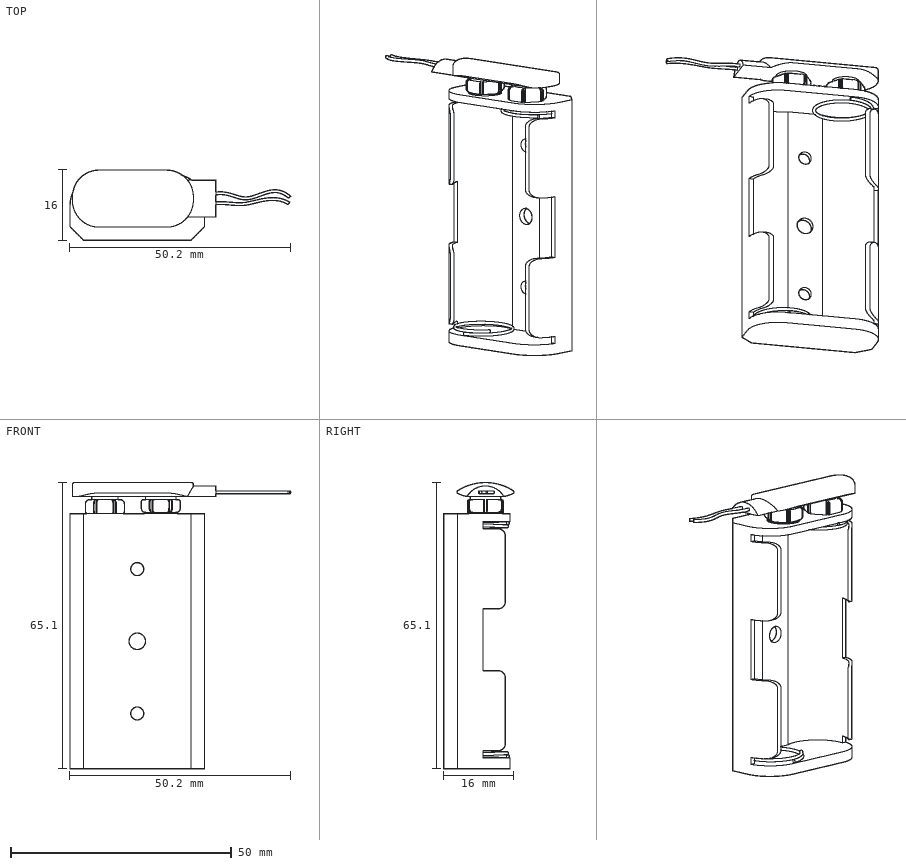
import cadquery as cq
import math


HOUSING_WIDTH = 30.6
HOUSING_HEIGHT = 58.0
FRONT_Y = -7.95
BACK_Y = 7.15
FRONT_CHAMFER = 3.1
BACK_CORNER_RADIUS = BACK_Y

CELL_RADIUS = 7.1
CELL_X = 7.15
POCKET_FLOOR_Y = -6.4
POCKET_BOTTOM = 2.5
POCKET_TOP = 56.2
POCKET_MIDDLE = (POCKET_BOTTOM + POCKET_TOP) / 2

SIDE_CUT_Y = 1.0
SPRING_SLOT_HEIGHT = 1.6
WINDOW_HEIGHT = 14.0
WALL_TOP_Y = 6.1
WALL_CORNER_RADIUS = 1.7

SCREW_HOLE_DIAMETER = 2.9
CENTRE_HOLE_DIAMETER = 3.7
SCREW_HOLE_PITCH = 16.4

SPRING_WIRE_DIAMETER = 0.7
SPRING_BASE_RADIUS = 6.65
SPRING_TIP_RADIUS = 6.45
SPRING_PITCH = 0.72
SPRING_TURNS = 1.15
SPRING_CURVE_POINTS = 80

CLIP_X = -1.0
CLIP_Y = 1.55
CLIP_LENGTH = 27.5
CLIP_WIDTH = 13.0
CLIP_CORNER_RADIUS = 6.1
CLIP_BOTTOM = 61.9
CLIP_EDGE_BOTTOM = 62.7
CLIP_EDGE_TOP = 63.1
CLIP_TOP = 65.1
CLIP_BOTTOM_HALF_WIDTH = 4.3
CLIP_EDGE_FILLET = 0.45
CLIP_FLANK_BULGE = 0.08

NECK_END_X = 17.85
NECK_WIDTH = 8.4
NECK_TOP = 64.3

LEAD_DIAMETER = 0.7
LEAD_Z = 62.85
UPPER_LEAD_BENDS = [(0, 1.15), (2.4, 1.1), (6.6, 0.05), (12.8, 1.65), (16.76, 0.3)]
LOWER_LEAD_BENDS = [(0, -1.05), (3.4, -1.15), (6.2, -1.25), (9.0, -0.7), (12.8, -0.1), (16.6, -1.1)]

SNAP_PITCH = 12.7
SNAP_ACROSS_FLATS = 8.2
SNAP_PETALS = 6
SNAP_CORNER_CHAMFER = 0.56
SNAP_SLOT_WIDTH = 0.45
SNAP_CORE_DIAMETER = 7.0
SNAP_TOP = 61.2
SNAP_BEND_RADIUS = 1.0
SNAP_RIM_RADIUS = 0.5
CLIP_SNAP_COLLAR_DIAMETER = 6.0
HOUSING_SNAP_COLLAR_DIAMETER = 7.5
HOUSING_SNAP_COLLAR_HEIGHT = 0.25


def block(x_min, x_max, y_min, y_max, z_min, z_max):
    size = (x_max - x_min, y_max - y_min, z_max - z_min)
    return cq.Workplane("XY").box(*size, centered=False).translate((x_min, y_min, z_min))


def disc(diameter, x, y, z_min, z_max):
    plate = cq.Workplane("XY").circle(diameter / 2).extrude(z_max - z_min)
    return plate.translate((x, y, z_min))


def housing_blank():
    middle_y = (FRONT_Y + BACK_Y) / 2
    blank = (
        cq.Workplane("XY")
        .rect(HOUSING_WIDTH, BACK_Y - FRONT_Y)
        .extrude(HOUSING_HEIGHT)
        .translate((0, middle_y, 0))
    )
    blank = blank.edges("|Z and <Y").chamfer(FRONT_CHAMFER)
    return blank.edges("|Z and >Y").fillet(BACK_CORNER_RADIUS)


def cell_pocket():
    pocket = block(-CELL_X, CELL_X, POCKET_FLOOR_Y, BACK_Y, POCKET_BOTTOM, POCKET_TOP)
    for x in (-CELL_X, CELL_X):
        pocket = pocket.union(disc(2 * CELL_RADIUS, x, 0, POCKET_BOTTOM, POCKET_TOP))
    return pocket


def wall(z_min, z_max):
    """Space taken by one pair of cell-holding walls, rounded at its back corners."""
    half = HOUSING_WIDTH / 2
    space = block(-half, half, SIDE_CUT_Y, WALL_TOP_Y, z_min, z_max)
    return space.edges("|X and >Y").fillet(WALL_CORNER_RADIUS)


def side_openings():
    half = HOUSING_WIDTH / 2
    openings = block(-half, half, SIDE_CUT_Y, BACK_Y, POCKET_BOTTOM, POCKET_TOP)
    lower_wall_bottom = POCKET_BOTTOM + SPRING_SLOT_HEIGHT
    upper_wall_top = POCKET_TOP - SPRING_SLOT_HEIGHT
    window_bottom = POCKET_MIDDLE - WINDOW_HEIGHT / 2
    window_top = POCKET_MIDDLE + WINDOW_HEIGHT / 2
    openings = openings.cut(wall(lower_wall_bottom, window_bottom))
    return openings.cut(wall(window_top, upper_wall_top))


def mounting_hole(diameter, z):
    depth = BACK_Y - FRONT_Y
    hole = cq.Workplane("XZ").circle(diameter / 2).extrude(-depth)
    return hole.translate((0, FRONT_Y, z))


def make_housing():
    body = housing_blank().cut(cell_pocket()).cut(side_openings())
    middle = HOUSING_HEIGHT / 2
    body = body.cut(mounting_hole(CENTRE_HOLE_DIAMETER, middle))
    for z in (middle - SCREW_HOLE_PITCH, middle + SCREW_HOLE_PITCH):
        body = body.cut(mounting_hole(SCREW_HOLE_DIAMETER, z))
    return body


def make_spring(cell_x, seat_z, direction):
    """Conical coil that starts at its seat, at the back, and runs up (direction 1) or down (-1)."""

    def coil(t):
        radius = SPRING_BASE_RADIUS + t * (SPRING_TIP_RADIUS - SPRING_BASE_RADIUS)
        angle = math.pi / 2 + 2 * math.pi * SPRING_TURNS * t
        rise = SPRING_WIRE_DIAMETER / 2 + SPRING_PITCH * SPRING_TURNS * t
        return (radius * math.cos(angle), radius * math.sin(angle), direction * rise)

    path = cq.Workplane("XY").parametricCurve(coil, N=SPRING_CURVE_POINTS)
    start = cq.Plane(origin=coil(0), xDir=(0, 1, 0), normal=(-1, 0, 0))
    spring = cq.Workplane(start).circle(SPRING_WIRE_DIAMETER / 2).sweep(path, isFrenet=True)
    return spring.translate((cell_x, 0, seat_z))


def clip_body():
    edge_y = CLIP_WIDTH / 2
    flank_mid_y = (edge_y + CLIP_BOTTOM_HALF_WIDTH) / 2 + CLIP_FLANK_BULGE
    flank_mid_z = (CLIP_EDGE_BOTTOM + CLIP_BOTTOM) / 2 - CLIP_FLANK_BULGE
    lens = (
        cq.Workplane("YZ")
        .moveTo(-CLIP_BOTTOM_HALF_WIDTH, CLIP_BOTTOM)
        .lineTo(CLIP_BOTTOM_HALF_WIDTH, CLIP_BOTTOM)
        .threePointArc((flank_mid_y, flank_mid_z), (edge_y, CLIP_EDGE_BOTTOM))
        .lineTo(edge_y, CLIP_EDGE_TOP)
        .threePointArc((0, CLIP_TOP), (-edge_y, CLIP_EDGE_TOP))
        .lineTo(-edge_y, CLIP_EDGE_BOTTOM)
        .threePointArc((-flank_mid_y, flank_mid_z), (-CLIP_BOTTOM_HALF_WIDTH, CLIP_BOTTOM))
        .close()
        .extrude(CLIP_LENGTH / 2, both=True)
    )
    outline = (
        cq.Workplane("XY")
        .workplane(offset=CLIP_BOTTOM)
        .rect(CLIP_LENGTH, CLIP_WIDTH)
        .extrude(CLIP_TOP - CLIP_BOTTOM)
        .edges("|Z")
        .fillet(CLIP_CORNER_RADIUS)
    )
    body = lens.intersect(outline)
    body = body.faces(">Z").edges().fillet(CLIP_EDGE_FILLET)
    return body.translate((CLIP_X, CLIP_Y, 0))


def clip_neck():
    half = NECK_WIDTH / 2
    section = (
        cq.Workplane("YZ")
        .moveTo(-half, CLIP_BOTTOM)
        .lineTo(half, CLIP_BOTTOM)
        .threePointArc((0, NECK_TOP), (-half, CLIP_BOTTOM))
        .close()
    )
    neck = section.extrude(NECK_END_X - CLIP_X)
    return neck.translate((CLIP_X, CLIP_Y, 0))


def make_clip():
    return clip_body().union(clip_neck())


def make_lead(bends):
    points = [(NECK_END_X + x, CLIP_Y + y) for x, y in bends]
    path = cq.Workplane("XY").workplane(offset=LEAD_Z).spline(points)
    start = cq.Plane(origin=(*points[0], LEAD_Z), xDir=(0, 1, 0), normal=(1, 0, 0))
    return cq.Workplane(start).circle(LEAD_DIAMETER / 2).sweep(path)


def petals(x, z_min, z_max, top_radius, bottom_radius):
    """Hexagonal socket whose corners are slotted down to a round core."""
    corner_diameter = SNAP_ACROSS_FLATS / math.cos(math.pi / SNAP_PETALS)
    height = z_max - z_min
    socket = cq.Workplane("XY").polygon(SNAP_PETALS, corner_diameter).extrude(height)
    socket = socket.edges("|Z").chamfer(SNAP_CORNER_CHAMFER)
    socket = socket.faces(">Z").edges().fillet(top_radius)
    socket = socket.faces("<Z").edges().fillet(bottom_radius)
    core = cq.Workplane("XY").circle(SNAP_CORE_DIAMETER / 2).extrude(height)
    slot = cq.Workplane("XY").rect(2 * corner_diameter, SNAP_SLOT_WIDTH).extrude(height).cut(core)
    for corner in range(SNAP_PETALS):
        socket = socket.cut(slot.rotate((0, 0, 0), (0, 0, 1), corner * 360 / SNAP_PETALS))
    return socket.translate((x, CLIP_Y, z_min))


def make_clip_snap():
    """Socket that hangs from the clip, with its wide bend at the top and its rim at the bottom."""
    x = CLIP_X - SNAP_PITCH / 2
    socket = petals(x, HOUSING_HEIGHT, SNAP_TOP, SNAP_BEND_RADIUS, SNAP_RIM_RADIUS)
    return socket.union(disc(CLIP_SNAP_COLLAR_DIAMETER, x, CLIP_Y, SNAP_TOP, CLIP_BOTTOM))


def make_housing_snap():
    """Socket that stands on the housing, with its rounded ends the other way up."""
    x = CLIP_X + SNAP_PITCH / 2
    foot = HOUSING_HEIGHT + HOUSING_SNAP_COLLAR_HEIGHT
    socket = petals(x, foot, SNAP_TOP, SNAP_RIM_RADIUS, SNAP_BEND_RADIUS)
    socket = socket.union(disc(HOUSING_SNAP_COLLAR_DIAMETER, x, CLIP_Y, HOUSING_HEIGHT, foot))
    return socket.union(disc(SNAP_CORE_DIAMETER, x, CLIP_Y, SNAP_TOP, CLIP_BOTTOM))


housing = make_housing()
springs = [
    make_spring(-CELL_X, POCKET_TOP, -1),
    make_spring(CELL_X, POCKET_BOTTOM, 1),
]
clip = make_clip()
leads = [make_lead(bends) for bends in (UPPER_LEAD_BENDS, LOWER_LEAD_BENDS)]
clip_snap = make_clip_snap()
housing_snap = make_housing_snap()

result = cq.Compound.makeCompound(
    [
        housing.val(),
        *[spring.val() for spring in springs],
        clip.val(),
        *[lead.val() for lead in leads],
        clip_snap.val(),
        housing_snap.val(),
    ]
)